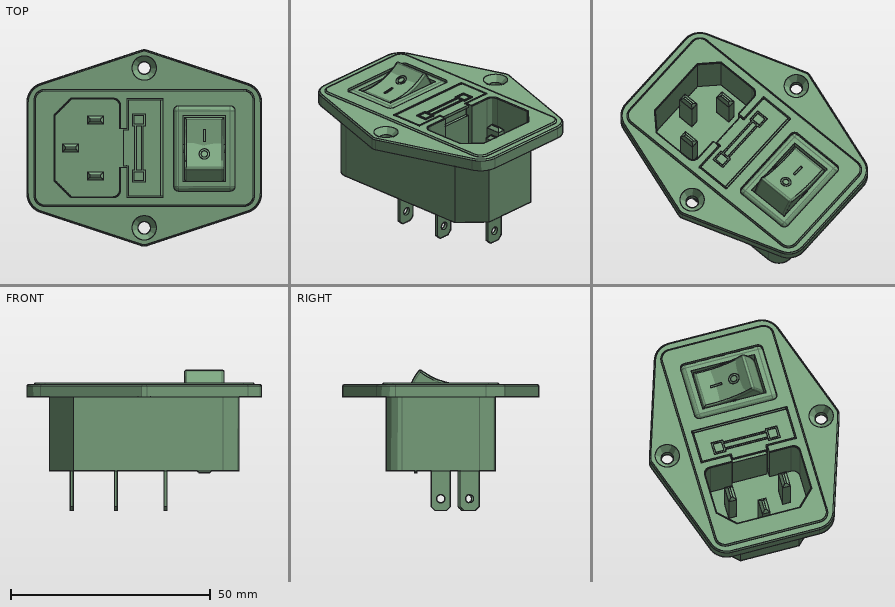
import cadquery as cq
import math


FLANGE_HALF_LENGTH = 29.4
FLANGE_TIP_Y = 24.6
FLANGE_CORNER_Y = 15.0
FLANGE_THICKNESS = 3.1
FLANGE_CORNER_RADIUS = 5.0
FLANGE_TIP_RADIUS = 2.0
FLANGE_EDGE_CHAMFER = 0.35
SCREW_HOLE_DIAMETER = 3.1
COUNTERSINK_DIAMETER = 6.1
COUNTERSINK_ANGLE = 90
SCREW_HOLE_Y = 20.0

FACE_LENGTH = 55.2
FACE_WIDTH = 29.3
FACE_HEIGHT = 0.4
FACE_CORNER_RADIUS = 2.7
FACE_CHAMFER = 0.35
FACE_Z = FLANGE_THICKNESS + FACE_HEIGHT

BODY_LENGTH = 47.5
BODY_WIDTH = 27.3
BODY_DEPTH = 18.5
BODY_CHAMFER = 6.0
BODY_RADIUS = 4.0

SOCKET_LEFT = -22.6
SOCKET_RIGHT = -5.95
SOCKET_WIDTH = 24.9
SOCKET_CHAMFER = 4.2
SOCKET_RADIUS = 1.8
SOCKET_RIM_CHAMFER = 0.2
SOCKET_FLOOR_Z = -12.5
BLADE_LENGTH = 4.0
BLADE_THICKNESS = 2.0
BLADE_TIP_LENGTH = 2.6
BLADE_TIP_THICKNESS = 0.5
BLADE_TAPER_HEIGHT = 0.8
EARTH_BLADE_X = -18.45
LINE_BLADE_X = -12.25
LINE_BLADE_Y = 7.0
EARTH_BLADE_TOP_Z = 0.85
LINE_BLADE_TOP_Z = -0.9

DRAWER_LEFT = -3.95
DRAWER_RIGHT = 4.65
DRAWER_WIDTH = 24.1
DRAWER_FRONT_X = -5.25
TONGUE_WIDTH = 9.0
DRAWER_GAP = 0.35
DRAWER_STEP_WIDTH = 0.55
DRAWER_STEP_DEPTH = 0.3
GRIP_DEPTH = 0.8
GRIP_TOP_Z = FACE_Z - 0.7
GRIP_BOTTOM_Z = FACE_Z - 2.9
FUSE_MARK_DEPTH = 0.2
MARK_LINE = 0.42
FUSE_MARK_X = -1.33
FUSE_CAP_LENGTH = 3.0
FUSE_CAP_WIDTH = 3.2
FUSE_CAP_Y = 7.05
FUSE_TUBE_WIDTH = 2.1

SWITCH_X = 15.05
SWITCH_Y = -0.15
FRAME_LENGTH = 15.4
FRAME_WIDTH = 21.4
FRAME_ROUNDING = 1.25
WINDOW_LENGTH = 10.7
WINDOW_WIDTH = 16.5
WINDOW_FLOOR_Z = -6.0
ROCKER_LENGTH = 9.9
ROCKER_ROUNDING = 0.5
ROCKER_BASE_Z = -3.0
ROCKER_TIP = (-5.2, 6.88)
ROCKER_DISH = (1.0, 3.75)
ROCKER_LOW_END = (7.65, 3.3)
ROCKER_BACK = (-7.25, 3.7)
ROCKER_BACK_FOOT_Y = -8.3
PIVOT_DIAMETER = 2.0
PIVOT_Y = -0.2
PIVOT_Z = 2.0
ROCKER_MARK_DEPTH = 0.1
ON_MARK_Y = 3.1
ON_MARK_LENGTH = 2.9
ON_MARK_WIDTH = 0.5
OFF_MARK_Y = -1.5
OFF_MARK_OUTER_DIAMETER = 2.6
OFF_MARK_INNER_DIAMETER = 1.6

STUB_WIDTH = 3.5
STUB_THICKNESS = 0.6
STUB_HEIGHT = 0.55
STUB_CHAMFER = 0.45
STUB_Y = -6.25

TAB_THICKNESS = 0.8
TAB_WIDTH = 4.8
TAB_LENGTH = 10.0
TAB_SEAT_DEPTH = 3.0
TAB_CHAMFER = 1.0
TAB_HOLE_DIAMETER = 2.0
TAB_HOLE_FROM_END = 3.0
TAB_PLACES = [(-18.15, 0.0), (-7.1, 6.7), (5.3, 7.25)]


def block(x0, x1, width, z0, z1, y=0.0):
    """Box between two X and two Z values, centred on y."""
    box = cq.Workplane("XY").box(x1 - x0, width, z1 - z0, centered=(False, True, False))
    return box.translate((x0, y, z0))


def flange():
    edge_slope = math.atan2(FLANGE_TIP_Y - FLANGE_CORNER_Y, FLANGE_HALF_LENGTH)
    apex_y = FLANGE_TIP_Y + FLANGE_TIP_RADIUS * (1 / math.cos(edge_slope) - 1)
    outline = [
        (-FLANGE_HALF_LENGTH, -FLANGE_CORNER_Y),
        (0, -apex_y),
        (FLANGE_HALF_LENGTH, -FLANGE_CORNER_Y),
        (FLANGE_HALF_LENGTH, FLANGE_CORNER_Y),
        (0, apex_y),
        (-FLANGE_HALF_LENGTH, FLANGE_CORNER_Y),
    ]
    plate = cq.Workplane("XY").polyline(outline).close().extrude(FLANGE_THICKNESS)
    plate = plate.edges("|Z").edges("<Y or >Y").fillet(FLANGE_TIP_RADIUS)
    plate = plate.edges("|Z").edges("<X or >X").fillet(FLANGE_CORNER_RADIUS)
    plate = plate.faces(">Z").edges().chamfer(FLANGE_EDGE_CHAMFER)
    return (
        plate.faces(">Z").workplane(origin=(0, 0, 0))
        .pushPoints([(0, -SCREW_HOLE_Y), (0, SCREW_HOLE_Y)])
        .cskHole(SCREW_HOLE_DIAMETER, COUNTERSINK_DIAMETER, COUNTERSINK_ANGLE)
    )


def raised_face():
    face = cq.Workplane("XY").box(FACE_LENGTH, FACE_WIDTH, FACE_Z, centered=(True, True, False))
    face = face.edges("|Z").fillet(FACE_CORNER_RADIUS)
    return face.faces(">Z").edges().chamfer(FACE_CHAMFER)


def body_block():
    body = block(-BODY_LENGTH / 2, BODY_LENGTH / 2, BODY_WIDTH, -BODY_DEPTH, 0)
    body = body.edges("|Z and <X").chamfer(BODY_CHAMFER)
    return body.edges("|Z and >X").fillet(BODY_RADIUS)


def socket_prism(inset, bottom_z, top_z):
    """Socket outline, drawn in from the rim by the inset, between two heights."""
    prism = block(
        SOCKET_LEFT + inset, SOCKET_RIGHT - inset, SOCKET_WIDTH - 2 * inset, bottom_z, top_z,
    )
    prism = prism.edges("|Z and <X").chamfer(SOCKET_CHAMFER)
    return prism.edges("|Z and >X").fillet(SOCKET_RADIUS)


def socket_cavity():
    well = socket_prism(SOCKET_RIM_CHAMFER, SOCKET_FLOOR_Z, FACE_Z)
    flare = socket_prism(0, FACE_Z - SOCKET_RIM_CHAMFER, FACE_Z + FACE_HEIGHT)
    flare = flare.faces("<Z").edges().chamfer(SOCKET_RIM_CHAMFER)
    return well.union(flare)


def blade(x, y, top_z):
    taper_z = top_z - BLADE_TAPER_HEIGHT
    shank = block(-BLADE_LENGTH / 2, BLADE_LENGTH / 2, BLADE_THICKNESS, SOCKET_FLOOR_Z, taper_z)
    tip = (
        cq.Workplane("XY", origin=(0, 0, taper_z)).rect(BLADE_LENGTH, BLADE_THICKNESS)
        .workplane(offset=BLADE_TAPER_HEIGHT).rect(BLADE_TIP_LENGTH, BLADE_TIP_THICKNESS)
        .loft(ruled=True)
    )
    return shank.union(tip).translate((x, y, 0))


def drawer_pocket():
    main = block(
        DRAWER_LEFT - DRAWER_GAP, DRAWER_RIGHT,
        DRAWER_WIDTH + 2 * DRAWER_GAP, SOCKET_FLOOR_Z, FACE_Z,
    )
    mouth = block(
        SOCKET_RIGHT - SOCKET_RIM_CHAMFER, DRAWER_LEFT, TONGUE_WIDTH + 2 * DRAWER_GAP,
        SOCKET_FLOOR_Z, FACE_Z,
    )
    return main.union(mouth)


def switch_frame():
    """Cushion-edged frame and the square-edged recess that surrounds it."""
    base_z = FACE_Z - 2 * FRAME_ROUNDING
    frame = block(-FRAME_LENGTH / 2, FRAME_LENGTH / 2, FRAME_WIDTH, base_z, FACE_Z)
    recess = frame.edges("|Z").fillet(FRAME_ROUNDING)
    frame = frame.edges("|Z or >Z").fillet(FRAME_ROUNDING)
    place = (SWITCH_X, SWITCH_Y, 0)
    return frame.translate(place), recess.translate(place)


def switch_window():
    return block(
        SWITCH_X - WINDOW_LENGTH / 2, SWITCH_X + WINDOW_LENGTH / 2,
        WINDOW_WIDTH, WINDOW_FLOOR_Z, FACE_Z, SWITCH_Y,
    )


def contact_stub():
    bottom_z = -BODY_DEPTH - STUB_HEIGHT
    stub = block(
        SWITCH_X - STUB_WIDTH / 2, SWITCH_X + STUB_WIDTH / 2,
        STUB_THICKNESS, bottom_z, -BODY_DEPTH, STUB_Y,
    )
    return stub.edges("|Y and <Z").chamfer(STUB_CHAMFER)


def solder_tab(x, y):
    bottom_z = -BODY_DEPTH - TAB_LENGTH
    tab = block(
        -TAB_THICKNESS / 2, TAB_THICKNESS / 2, TAB_WIDTH, bottom_z, -BODY_DEPTH + TAB_SEAT_DEPTH,
    )
    tab = tab.edges("|X and <Z").chamfer(TAB_CHAMFER)
    hole = (
        cq.Workplane("YZ", origin=(-TAB_THICKNESS, 0, bottom_z + TAB_HOLE_FROM_END))
        .circle(TAB_HOLE_DIAMETER / 2).extrude(2 * TAB_THICKNESS)
    )
    return tab.cut(hole).translate((x, y, 0))


def build_housing(tabs):
    frame, frame_recess = switch_frame()
    housing = flange().union(raised_face()).union(body_block())
    housing = housing.cut(socket_cavity()).cut(drawer_pocket())
    housing = housing.cut(frame_recess).union(frame).cut(switch_window())
    housing = housing.union(blade(EARTH_BLADE_X, 0, EARTH_BLADE_TOP_Z))
    for side in (-1, 1):
        housing = housing.union(blade(LINE_BLADE_X, side * LINE_BLADE_Y, LINE_BLADE_TOP_Z))
    housing = housing.union(contact_stub())
    for tab in tabs:
        housing = housing.cut(tab)
    return housing


def fuse_mark():
    """Outline of a cartridge fuse: two square end caps joined by the edges of the tube."""
    centre = cq.Workplane("XY", origin=(FUSE_MARK_X, 0, FACE_Z - FUSE_MARK_DEPTH))
    caps = centre.pushPoints([(0, -FUSE_CAP_Y), (0, FUSE_CAP_Y)])
    mark = caps.rect(FUSE_CAP_WIDTH, FUSE_CAP_LENGTH).extrude(FUSE_MARK_DEPTH)
    cap_inside = (
        centre.pushPoints([(0, -FUSE_CAP_Y), (0, FUSE_CAP_Y)])
        .rect(FUSE_CAP_WIDTH - 2 * MARK_LINE, FUSE_CAP_LENGTH - 2 * MARK_LINE)
        .extrude(FUSE_MARK_DEPTH)
    )
    tube_length = 2 * FUSE_CAP_Y - FUSE_CAP_LENGTH
    edge_x = (FUSE_TUBE_WIDTH - MARK_LINE) / 2
    tube = (
        centre.pushPoints([(-edge_x, 0), (edge_x, 0)])
        .rect(MARK_LINE, tube_length).extrude(FUSE_MARK_DEPTH)
    )
    return mark.cut(cap_inside).union(tube)


def build_drawer():
    main = block(DRAWER_LEFT, DRAWER_RIGHT, DRAWER_WIDTH, SOCKET_FLOOR_Z, FACE_Z)
    tongue = block(DRAWER_FRONT_X, DRAWER_LEFT, TONGUE_WIDTH, SOCKET_FLOOR_Z, FACE_Z)
    grip = block(
        DRAWER_FRONT_X, DRAWER_FRONT_X + GRIP_DEPTH, TONGUE_WIDTH, GRIP_BOTTOM_Z, GRIP_TOP_Z,
    )
    step = block(
        DRAWER_RIGHT - DRAWER_STEP_WIDTH, DRAWER_RIGHT,
        DRAWER_WIDTH, FACE_Z - DRAWER_STEP_DEPTH, FACE_Z,
    )
    return main.union(tongue).cut(grip).cut(step).cut(fuse_mark())


def rocker_profile(x):
    return (
        cq.Workplane("YZ", origin=(x, 0, 0))
        .moveTo(*ROCKER_TIP)
        .threePointArc(ROCKER_DISH, ROCKER_LOW_END)
        .lineTo(ROCKER_LOW_END[0], ROCKER_BASE_Z)
        .lineTo(ROCKER_BACK_FOOT_Y, ROCKER_BASE_Z)
        .threePointArc(ROCKER_BACK, ROCKER_TIP)
        .close()
    )


def rocker_marks():
    """Columns with the outlines of the on and off marks, reaching through the dished face."""
    ring = (
        cq.Workplane("XY", origin=(SWITCH_X, OFF_MARK_Y, 0))
        .circle(OFF_MARK_OUTER_DIAMETER / 2).circle(OFF_MARK_INNER_DIAMETER / 2)
        .extrude(ROCKER_TIP[1])
    )
    bar = block(
        SWITCH_X - ON_MARK_WIDTH / 2, SWITCH_X + ON_MARK_WIDTH / 2,
        ON_MARK_LENGTH, 0, ROCKER_TIP[1], ON_MARK_Y,
    )
    return ring.union(bar)


def build_rocker():
    left_x = SWITCH_X - ROCKER_LENGTH / 2
    blank = rocker_profile(left_x).extrude(ROCKER_LENGTH)
    core = blank.translate((0, 0, -ROCKER_MARK_DEPTH))
    sides = blank.edges("%CIRCLE")
    raised_edge = blank.edges("|X and >Z")
    low_edge = blank.edges("|X and >Y").edges(">Z")
    rocker = sides.add(raised_edge).add(low_edge).fillet(ROCKER_ROUNDING)
    rocker = rocker.cut(rocker_marks().cut(core))
    pivot = (
        cq.Workplane("YZ", origin=(SWITCH_X - WINDOW_LENGTH / 2, PIVOT_Y, PIVOT_Z))
        .circle(PIVOT_DIAMETER / 2).extrude(WINDOW_LENGTH)
    )
    return rocker.union(pivot)


tabs = [solder_tab(x, y) for x, y in TAB_PLACES]
housing = build_housing(tabs)
drawer = build_drawer()
rocker = build_rocker()

result = cq.Compound.makeCompound(
    [housing.val(), drawer.val(), rocker.val(), *[tab.val() for tab in tabs]]
)